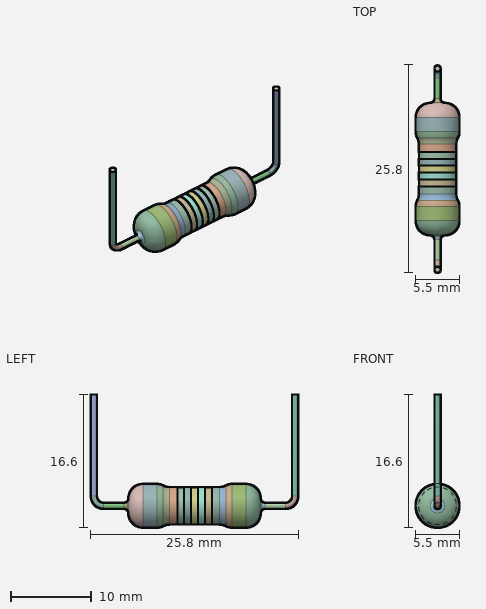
import cadquery as cq
import math


lead_diameter = 0.8
lead_pitch = 25.0
lead_top_z = 13.85
bend_radius = 1.2

cap_diameter = 5.5
barrel_diameter = 4.7
body_half_length = 8.25
cap_inner_y = 4.67
barrel_half_length = 3.11
lead_fillet_radius = 0.5

band_diameter = 4.67
band_width = 0.856
band_count = 3
band_pitch = 2 * band_width

lead_radius = lead_diameter / 2
cap_radius = cap_diameter / 2
barrel_radius = barrel_diameter / 2
cap_round_radius = cap_radius - lead_radius - lead_fillet_radius


def arc_point(center, radius, degrees):
    """Point at a given angle on a circle, in the coordinates of the sketch plane."""
    angle = math.radians(degrees)
    return (center[0] + radius * math.cos(angle), center[1] + radius * math.sin(angle))


def half_body():
    """Half of the turned body, from the middle plane to the +Y lead."""
    shoulder_length = (cap_inner_y - barrel_half_length) / 2
    shoulder_rise = (cap_radius - barrel_radius) / 2
    shoulder_radius = (shoulder_length**2 + shoulder_rise**2) / (2 * shoulder_rise)
    half_sweep = math.degrees(math.asin(shoulder_length / shoulder_radius)) / 2
    shoulder_middle = (barrel_radius + shoulder_rise, barrel_half_length + shoulder_length)
    hollow_center = (barrel_radius + shoulder_radius, barrel_half_length)
    crown_center = (cap_radius - shoulder_radius, cap_inner_y)

    round_center = (cap_radius - cap_round_radius, body_half_length - cap_round_radius)
    flare_center = (lead_radius + lead_fillet_radius, body_half_length + lead_fillet_radius)

    profile = (
        cq.Workplane("XY")
        .lineTo(barrel_radius, 0)
        .lineTo(barrel_radius, barrel_half_length)
        .threePointArc(arc_point(hollow_center, shoulder_radius, 180 - half_sweep), shoulder_middle)
        .threePointArc(arc_point(crown_center, shoulder_radius, -half_sweep), (cap_radius, cap_inner_y))
        .lineTo(cap_radius, round_center[1])
        .threePointArc(arc_point(round_center, cap_round_radius, 45), (round_center[0], body_half_length))
        .threePointArc(arc_point(flare_center, lead_fillet_radius, 225), (lead_radius, flare_center[1]))
        .lineTo(0, flare_center[1])
        .close()
    )
    return profile.revolve(360, (0, 0, 0), (0, 1, 0))


def band_groove(center_y):
    """Ring of material to remove so that a band sits slightly below the barrel surface."""
    return (
        cq.Workplane("XZ", origin=(0, center_y + band_width / 2, 0))
        .circle(cap_radius)
        .circle(band_diameter / 2)
        .extrude(band_width)
    )


def lead():
    """Lead on the +Y side: out along Y, then a round bend up to its end."""
    lead_y = lead_pitch / 2
    start_y = body_half_length
    bend_center = (lead_y - bend_radius, bend_radius)
    path = (
        cq.Workplane("YZ")
        .moveTo(start_y, 0)
        .lineTo(bend_center[0], 0)
        .threePointArc(arc_point(bend_center, bend_radius, -45), (lead_y, bend_radius))
        .lineTo(lead_y, lead_top_z)
    )
    return cq.Workplane("XZ", origin=(0, start_y, 0)).circle(lead_radius).sweep(path)


half = half_body().union(lead())
result = half.union(half.mirror("XZ"))
first_band_y = -band_pitch * (band_count - 1) / 2
for index in range(band_count):
    result = result.cut(band_groove(first_band_y + index * band_pitch))